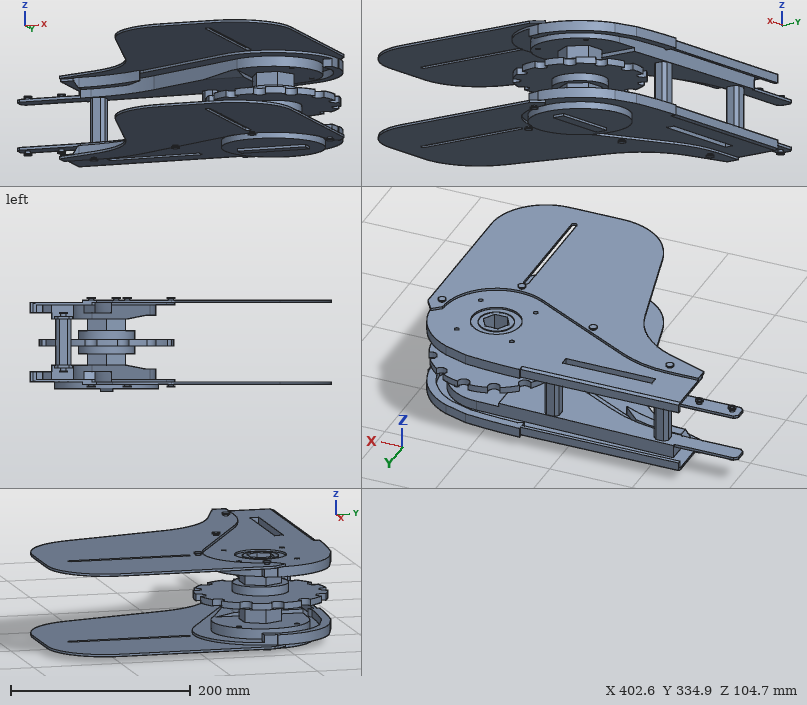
import cadquery as cq
import math


ARM_Z = 25.6
BOSS_Z = 29.8
RIM_Z = 32.7
SHEET_Z = 41.4
SHEET_TOP_Z = 44.2
GUARD_TOP_Z = 46.9
BOLT_TOP_Z = 49.9

WALL_ANGLE = 28.3
GUARD_EDGE_RADIUS = 65.0
RIM_OUTER_RADIUS = 76.0
BOSS_RADIUS = 55.0
GUARD_EDGE_Y = 27.0
GUARD_BEND_RADIUS = 130.0
ARM_BEND_RADIUS = 172.0

FRAME_LEFT = -256.7
FLANGE_Y = 82.0
FLANGE_WIDTH = 4.3
FLANGE_BEVEL = 1.5
STEP_X = -65.0
STEP_Y = 84.9
CROWN_MIDDLE = (-31.3, 83.5)
CROWN_END = (2.3, 80.3)
HEAD_RADIUS = 77.5
HEAD_START_ANGLE = 67.0
RIM_WIDTH = 10.5
RIM_END_Y = -15.0
FRONT_RIM_LEFT = -241.0
FRONT_RIM_RIGHT = -156.0
FRONT_RIM_END_Y = -4.5
FRONT_RIM_RAMP = 6.0
FRONT_RIM_OUTER_RADIUS = 79.0
FRONT_RIM_INNER_RADIUS = 67.0

ARM_LEFT = -241.0
ARM_REAR_Y = 61.0
RAMP_START_Y = -22.5
RAMP_END_Y = -44.0
ARM_STEP_X = -27.0
ARM_SLOT_LEFT = -211.6
ARM_SLOT_RIGHT = -103.0
ARM_SLOT_WIDTH = 10.2

BAR_LEFT = -317.05
BAR_THICKNESS = 3.2
BAR_TOP_Z = ARM_Z + BAR_THICKNESS
BAR_Y = 48.0
BAR_WIDTH = 20.2
BAR_CHAMFER = 4.0
BAR_BOLT_XS = (-306.8, -267.0)
POST_XS = (-222.8, -90.2)
POST_SIZE = 17.2
POST_CHAMFER = 4.0

OVERALL_LENGTH = 402.55
OVERALL_WIDTH = 334.89
GUARD_RIGHT = BAR_LEFT + OVERALL_LENGTH
GUARD_BOTTOM = STEP_Y - OVERALL_WIDTH
GUARD_FRONT_Y = 11.4
THROAT_CORNER = (-161.2, -24.0)
THROAT_RADIUS = 95.0
LEFT_FOOT_X = -103.8
LEFT_FOOT_RADIUS = 76.0
RIGHT_FOOT_RADIUS = 66.0
GUARD_SHOULDER_Y = -5.7
GUARD_TIP = (75.3, 9.0)
GUARD_SLOT_WIDTH = 6.2
GUARD_SLOT_TOP = -81.0
GUARD_SLOT_BOTTOM = -221.0

GUARD_BOLTS = ((-217.8, 17.0), (-107.6, -23.0), (0.0, -71.6), (70.4, -10.8))
BOLT_HEAD_RADIUS = 4.5
BOLT_NECK_RADIUS = 3.0
BOLT_HEAD_HEIGHT = 1.3
BAR_BOLT_HEIGHT = 4.4
SOCKET_RADIUS = 2.6
SOCKET_DEPTH = 0.8

SHAFT_FLATS = 42.4
BORE_FLATS = 27.0
COLLAR_RADIUS = 31.5
COLLAR_HALF_WIDTH = 13.0
SPROCKET_THICKNESS = 7.4
SPROCKET_Z = -0.7
SPROCKET_RADIUS = 75.0
TOOTH_COUNT = 13
TOOTH_GAP_RADIUS = 7.0
TOOTH_GAP_CENTRE = 73.0
TOOTH_GAP_PHASE = 0.5
BEARING_RADIUS = 28.8
SHAFT_END_RADIUS = 20.3
BEARING_Z = 42.2
SHAFT_END_Z = 43.2
HUB_HOLE_OFFSET = 33.4
HUB_HOLE_DIAMETER = 5.2
HUB_DISC_RADIUS = 58.0
HUB_BAR_LENGTH = 80.0
HUB_BAR_WIDTH = 14.0
HUB_DISC_Z = -52.0
OVERALL_HEIGHT = 104.72
HUB_BAR_Z = BOLT_TOP_Z - OVERALL_HEIGHT


def polar(radius, degrees):
    angle = math.radians(degrees)
    return (radius * math.cos(angle), radius * math.sin(angle))


def prism(outline, bottom, top):
    """Extrude a closed XY outline from one height to another."""
    return outline.extrude(top - bottom).translate((0, 0, bottom))


def cylinder(radius, bottom, top, centre=(0, 0)):
    return prism(cq.Workplane("XY").center(*centre).circle(radius), bottom, top)


def box(x_range, y_range, z_range):
    (x0, x1), (y0, y1), (z0, z1) = x_range, y_range, z_range
    return cq.Workplane("XY").box(x1 - x0, y1 - y0, z1 - z0, centered=False).translate((x0, y0, z0))


def hexagon(flats, bottom, top):
    """Hexagonal prism with two corners on the X axis."""
    return prism(cq.Workplane("XY").polygon(6, flats / math.cos(math.pi / 6)), bottom, top)


def follow_edge(path, hub_radius, end_x, bend=ARM_BEND_RADIUS):
    """Continue from a point on the hub circle clockwise, up the sloping wall and out to end_x.

    The straight stretches at different hub radii run parallel to the guard edge.
    """
    offset = GUARD_EDGE_RADIUS - hub_radius
    level_y = GUARD_EDGE_Y + offset
    slope = math.radians(WALL_ANGLE)
    corner_x = -(level_y + hub_radius / math.cos(slope)) / math.tan(slope)
    tangent = bend * math.tan(slope / 2)
    level_end = (corner_x - tangent, level_y)
    bend_centre = (level_end[0], level_y - bend)
    bend_middle = polar(bend, 90 - WALL_ANGLE / 2)
    slope_end = polar(bend, 90 - WALL_ANGLE)
    return (
        path.threePointArc(polar(hub_radius, -60), polar(hub_radius, -90 - WALL_ANGLE))
        .lineTo(bend_centre[0] + slope_end[0], bend_centre[1] + slope_end[1])
        .threePointArc((bend_centre[0] + bend_middle[0], bend_centre[1] + bend_middle[1]), level_end)
        .lineTo(end_x, level_y)
    )


def edge_band(hub_radius, left, top_y):
    """Closed outline between a parallel edge curve and a level line above it."""
    path = cq.Workplane("XY").moveTo(left, top_y).lineTo(hub_radius, top_y).lineTo(hub_radius, 0)
    return follow_edge(path, hub_radius, left).close()


def housing_outline():
    path = (
        cq.Workplane("XY")
        .moveTo(FRAME_LEFT, FLANGE_Y)
        .lineTo(STEP_X, FLANGE_Y)
        .lineTo(STEP_X, STEP_Y)
        .threePointArc(CROWN_MIDDLE, CROWN_END)
        .lineTo(*polar(HEAD_RADIUS, HEAD_START_ANGLE))
        .threePointArc(polar(HEAD_RADIUS, HEAD_START_ANGLE / 2), (HEAD_RADIUS, 0))
        .lineTo(RIM_OUTER_RADIUS, 0)
    )
    return follow_edge(path, RIM_OUTER_RADIUS, FRAME_LEFT).close()


def front_rim():
    """Short curved rim below the arm, ramped at its front end and cut obliquely at its rear end."""
    band = prism(edge_band(FRONT_RIM_OUTER_RADIUS, FRONT_RIM_LEFT, ARM_REAR_Y), RIM_Z, SHEET_TOP_Z)
    inside = prism(edge_band(FRONT_RIM_INNER_RADIUS, FRAME_LEFT, STEP_Y), RIM_Z, SHEET_TOP_Z)
    profile = (
        cq.Workplane("XZ")
        .moveTo(FRONT_RIM_LEFT, SHEET_TOP_Z)
        .lineTo(FRONT_RIM_LEFT, SHEET_Z)
        .lineTo(FRONT_RIM_LEFT + FRONT_RIM_RAMP, RIM_Z)
        .lineTo(FRONT_RIM_RIGHT, RIM_Z)
        .lineTo(FRONT_RIM_RIGHT, SHEET_TOP_Z)
        .close()
        .extrude(STEP_Y, both=True)
    )
    cut_size = ARM_REAR_Y - FRONT_RIM_END_Y
    rear_cut = prism(
        cq.Workplane("XY")
        .moveTo(FRONT_RIM_RIGHT, FRONT_RIM_END_Y)
        .lineTo(FRONT_RIM_RIGHT, ARM_REAR_Y)
        .lineTo(FRONT_RIM_RIGHT - cut_size, ARM_REAR_Y)
        .close(),
        RIM_Z,
        SHEET_TOP_Z,
    )
    return band.cut(inside).intersect(profile).cut(rear_cut)


def housing():
    """Thin sheet with a rear flange, a rim around the head and a short front rim."""
    sheet = prism(housing_outline(), SHEET_Z, SHEET_TOP_Z)
    flange_inner_y = FLANGE_Y - FLANGE_WIDTH
    flange = box((FRAME_LEFT, STEP_X), (flange_inner_y, FLANGE_Y), (RIM_Z, SHEET_TOP_Z))
    bevel = (
        cq.Workplane("YZ")
        .moveTo(flange_inner_y, SHEET_TOP_Z)
        .lineTo(FLANGE_Y, SHEET_TOP_Z - FLANGE_BEVEL)
        .lineTo(FLANGE_Y, SHEET_TOP_Z)
        .close()
        .extrude(STEP_X - FRAME_LEFT)
        .translate((FRAME_LEFT, 0, 0))
    )

    solid_head = prism(housing_outline(), RIM_Z, SHEET_Z)
    hollow = prism(housing_outline().offset2D(-RIM_WIDTH), RIM_Z, SHEET_Z)
    ring = solid_head.cut(hollow)
    head_rim = ring.intersect(box((STEP_X, GUARD_RIGHT), (RIM_END_Y, STEP_Y), (RIM_Z, SHEET_Z)))
    head_rim = head_rim.cut(box((STEP_X, 0), (RIM_END_Y, BOSS_RADIUS), (RIM_Z, SHEET_Z)))

    return sheet.union(flange).cut(bevel).union(head_rim).union(front_rim())


def arm():
    """Block running from the front end to the hub boss, ramped down to the boss height."""
    path = cq.Workplane("XY").moveTo(ARM_LEFT, ARM_REAR_Y).lineTo(0, BOSS_RADIUS)
    path = path.threePointArc(polar(BOSS_RADIUS, 45), (BOSS_RADIUS, 0))
    block = prism(follow_edge(path, BOSS_RADIUS, ARM_LEFT).close(), ARM_Z, SHEET_Z)
    ramp = (
        cq.Workplane("YZ")
        .moveTo(RAMP_START_Y, ARM_Z)
        .lineTo(RAMP_END_Y, BOSS_Z)
        .lineTo(-BOSS_RADIUS, BOSS_Z)
        .lineTo(-BOSS_RADIUS, ARM_Z)
        .close()
        .extrude(ARM_LEFT)
    )
    step = box((ARM_STEP_X, BOSS_RADIUS), (-BOSS_RADIUS, ARM_REAR_Y), (ARM_Z, BOSS_Z))
    return block.cut(ramp).cut(step)


def arm_slot():
    half = ARM_SLOT_WIDTH / 2
    return box((ARM_SLOT_LEFT, ARM_SLOT_RIGHT), (BAR_Y - half, BAR_Y + half), (BOSS_Z, SHEET_TOP_Z))


def guard():
    """Large outer sheet with a throat, rounded foot and a long slot."""
    path = (
        cq.Workplane("XY")
        .moveTo(FRAME_LEFT, GUARD_FRONT_Y)
        .lineTo(*THROAT_CORNER)
        .lineTo(LEFT_FOOT_X, GUARD_BOTTOM)
        .lineTo(GUARD_RIGHT, GUARD_BOTTOM)
        .lineTo(GUARD_RIGHT, GUARD_SHOULDER_Y)
        .lineTo(*GUARD_TIP)
        .lineTo(GUARD_EDGE_RADIUS, 0)
    )
    outline = follow_edge(path, GUARD_EDGE_RADIUS, FRAME_LEFT, GUARD_BEND_RADIUS).close()
    sheet = prism(outline, SHEET_TOP_Z, GUARD_TOP_Z)
    rounded_corners = (
        (THROAT_CORNER, THROAT_RADIUS),
        ((LEFT_FOOT_X, GUARD_BOTTOM), LEFT_FOOT_RADIUS),
        ((GUARD_RIGHT, GUARD_BOTTOM), RIGHT_FOOT_RADIUS),
    )
    for (x, y), radius in rounded_corners:
        corner = cq.selectors.NearestToPointSelector((x, y, (SHEET_TOP_Z + GUARD_TOP_Z) / 2))
        sheet = sheet.edges("|Z").edges(corner).fillet(radius)
    slot = prism(
        cq.Workplane("XY")
        .center(0, (GUARD_SLOT_TOP + GUARD_SLOT_BOTTOM) / 2)
        .slot2D(GUARD_SLOT_TOP - GUARD_SLOT_BOTTOM, GUARD_SLOT_WIDTH, 90),
        SHEET_TOP_Z,
        GUARD_TOP_Z,
    )
    return sheet.cut(slot)


def bolt(centre, seat_z, top_z):
    """Stepped bolt head standing on a surface."""
    neck = cylinder(BOLT_NECK_RADIUS, seat_z, top_z, centre)
    return neck.union(cylinder(BOLT_HEAD_RADIUS, top_z - BOLT_HEAD_HEIGHT, top_z, centre))


def tie_bar():
    """Flat bar projecting from the front of the arm, with two socket-head bolts."""
    half = BAR_WIDTH / 2
    bar = box((BAR_LEFT, ARM_LEFT), (BAR_Y - half, BAR_Y + half), (ARM_Z, BAR_TOP_Z))
    bar = bar.edges("|Z and <X").chamfer(BAR_CHAMFER)
    bolt_top = BAR_TOP_Z + BAR_BOLT_HEIGHT
    for x in BAR_BOLT_XS:
        bar = bar.union(bolt((x, BAR_Y), BAR_TOP_Z, bolt_top))
        bar = bar.cut(cylinder(SOCKET_RADIUS, bolt_top - SOCKET_DEPTH, bolt_top, (x, BAR_Y)))
    return bar


def hub_recess():
    """Bearing recess with the shaft end standing in it, and four small holes around it."""
    recess = cylinder(BEARING_RADIUS, BEARING_Z, SHEET_TOP_Z)
    recess = recess.cut(cylinder(SHAFT_END_RADIUS, BEARING_Z, SHAFT_END_Z))
    holes = prism(
        cq.Workplane("XY")
        .rect(2 * HUB_HOLE_OFFSET, 2 * HUB_HOLE_OFFSET, forConstruction=True)
        .vertices()
        .circle(HUB_HOLE_DIAMETER / 2),
        BOSS_Z,
        SHEET_TOP_Z,
    )
    return recess.union(holes)


def side_frame():
    frame = housing().union(arm()).cut(arm_slot()).union(guard()).union(tie_bar())
    for centre in GUARD_BOLTS:
        frame = frame.union(bolt(centre, GUARD_TOP_Z, BOLT_TOP_Z))
    return frame.cut(hub_recess())


def post(x):
    column = cq.Workplane("XY").box(POST_SIZE, POST_SIZE, 2 * ARM_Z).edges("|Z").chamfer(POST_CHAMFER)
    return column.translate((x, BAR_Y, 0))


def sprocket():
    bottom = SPROCKET_Z - SPROCKET_THICKNESS / 2
    top = SPROCKET_Z + SPROCKET_THICKNESS / 2
    disc = cylinder(SPROCKET_RADIUS, bottom, top)
    for tooth in range(TOOTH_COUNT):
        gap_centre = polar(TOOTH_GAP_CENTRE, TOOTH_GAP_PHASE + tooth * 360 / TOOTH_COUNT)
        disc = disc.cut(cylinder(TOOTH_GAP_RADIUS, bottom, top, gap_centre))
    return disc.union(cylinder(COLLAR_RADIUS, -COLLAR_HALF_WIDTH, COLLAR_HALF_WIDTH))


def lower_hub():
    """Disc with a raised bar across it, closing the hub below the lower frame."""
    disc = cylinder(HUB_DISC_RADIUS, HUB_DISC_Z, -SHEET_TOP_Z)
    half_length = HUB_BAR_LENGTH / 2
    half_width = HUB_BAR_WIDTH / 2
    bar = box((-half_length, half_length), (-half_width, half_width), (HUB_BAR_Z, HUB_DISC_Z))
    return disc.union(bar)


upper_frame = side_frame()
result = upper_frame.union(upper_frame.mirror("XY"))
for post_x in POST_XS:
    result = result.union(post(post_x))
result = result.union(hexagon(SHAFT_FLATS, -BOSS_Z, BOSS_Z)).union(sprocket()).union(lower_hub())
result = result.cut(hexagon(BORE_FLATS, -SHEET_TOP_Z, SHAFT_END_Z))